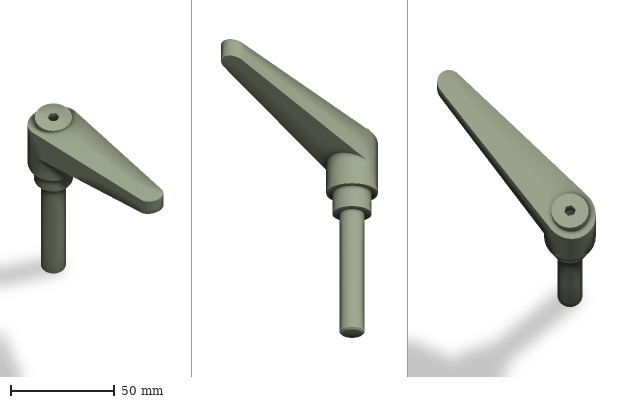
import cadquery as cq
import math

stud_diameter = 12.0
stud_chamfer = 0.9
collar_diameter = 19.0
collar_bottom = 63.1
hub_radius = 12.48
hub_bottom = 73.9
button_diameter = 18.0
button_top = 106.0

socket_across_flats = 5.0
socket_depth = 5.1
socket_point_angle = 120.0

total_height = 126.7
lever_reach = 101.5 - hub_radius
tip_radius = 6.1
tip_center = lever_reach - tip_radius
top_angle = 15.0
tip_thickness = 8.6
bottom_angle = 19.7

side_sine = (hub_radius - tip_radius) / tip_center
side_cosine = math.sqrt(1 - side_sine**2)
root_x = hub_radius * side_sine


def disc(diameter, bottom, top):
    return cq.Workplane("XY").workplane(offset=bottom).circle(diameter / 2).extrude(top - bottom)


def top_height(x):
    """Height of the sloping upper face at a given X."""
    return total_height - (lever_reach - x) * math.tan(math.radians(top_angle))


def bottom_height(x):
    """Height of the sloping lower face of the lever at a given X."""
    drop = (lever_reach - x) * math.tan(math.radians(bottom_angle))
    return total_height - tip_thickness - drop


def side_profile(points):
    return cq.Workplane("XZ").polyline(points).close().extrude(hub_radius, both=True)


def make_hub():
    envelope = side_profile([
        (-hub_radius, hub_bottom),
        (hub_radius, hub_bottom),
        (hub_radius, top_height(hub_radius)),
        (-hub_radius, top_height(-hub_radius)),
    ])
    return disc(2 * hub_radius, hub_bottom, total_height).intersect(envelope)


def make_lever():
    root_y = hub_radius * side_cosine
    tip_x = tip_center + tip_radius * side_sine
    tip_y = tip_radius * side_cosine
    plan = (
        cq.Workplane("XY")
        .moveTo(root_x, -root_y)
        .lineTo(tip_x, -tip_y)
        .threePointArc((lever_reach, 0), (tip_x, tip_y))
        .lineTo(root_x, root_y)
        .close()
        .extrude(total_height)
    )
    profile = side_profile([
        (root_x, bottom_height(root_x)),
        (lever_reach, bottom_height(lever_reach)),
        (lever_reach, top_height(lever_reach)),
        (root_x, top_height(root_x)),
    ])
    return plan.intersect(profile)


def make_socket():
    """Hexagonal recess whose floor is a cone reaching out to the hexagon corners."""
    across_corners = socket_across_flats / math.cos(math.radians(30))
    corner_radius = across_corners / 2
    point_depth = corner_radius / math.tan(math.radians(socket_point_angle / 2))
    shoulder = button_top - socket_depth
    prism = (
        cq.Workplane("XY")
        .workplane(offset=shoulder - point_depth)
        .polygon(6, across_corners)
        .extrude(socket_depth + point_depth)
    )
    pointed_bore = (
        cq.Workplane("XZ")
        .moveTo(0, shoulder - point_depth)
        .lineTo(corner_radius, shoulder)
        .lineTo(corner_radius, button_top)
        .lineTo(0, button_top)
        .close()
        .revolve(360, (0, 0, 0), (0, 1, 0))
    )
    return prism.intersect(pointed_bore)


stud = disc(stud_diameter, 0, collar_bottom).faces("<Z").chamfer(stud_chamfer)
collar = disc(collar_diameter, collar_bottom, hub_bottom)
button = disc(button_diameter, hub_bottom, button_top)

result = make_hub().union(make_lever()).union(collar).union(stud).union(button).cut(make_socket())